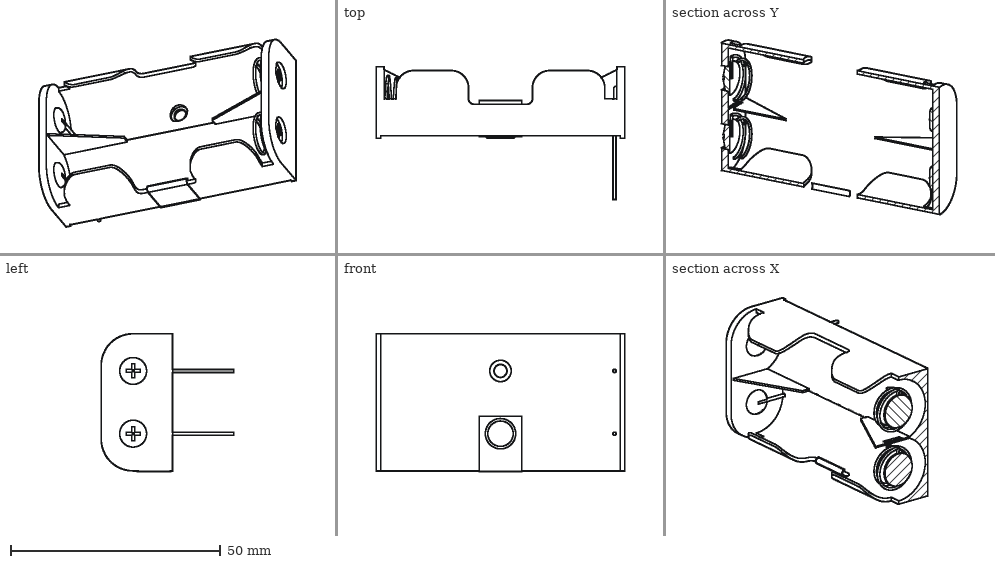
import cadquery as cq
import math

LENGTH = 59.5
WIDTH = 32.85
HEIGHT = 17.15
BACK = 0.6
RIB_WIDTH = 1.15
END_WALL = 1.95
CORNER_RADIUS = 7.7
AXIS_Y = HEIGHT - CORNER_RADIUS
INNER_END = LENGTH / 2 - END_WALL

AXIS_Z = 7.5
WALL = 0.95
TROUGH_RADIUS = WIDTH / 2 - WALL - AXIS_Z

WING_TOP = 16.25
WING_INNER_X = 7.6
WING_OUTER_X = 24.95
WING_CORNER_RADIUS = 4.15
NOTCH_FLOOR = 8.2
NOTCH_FILLET = AXIS_Y - NOTCH_FLOOR

WEB_THICKNESS = 0.5
WEB_TOP = 16.4
WEB_SLOPE = 0.5
SLOT_WIDTH = 1.2
SLOT_OFFSET = 0.8
SLOT_TOP = 13.1

BOSS_DIAMETER = 5.1
BOSS_HEIGHT = 0.35
MOUNTING_HOLE_DIAMETER = 3.05
RECESS_DIAMETER = 4.4
SEAT_THICKNESS = 0.6

STRAP_WIDTH = 10.25
STRAP_THICKNESS = 0.2
HOOK_GAP = 1.4
STRAP_END_Z = -3.4
STUD_BASE_RADIUS = 3.65
STUD_TOP_RADIUS = 3.05

BUTTON_RADIUS = 3.05
BUTTON_HEIGHT = 0.8
BUTTON_FILLET = 0.7
PIN_DIAMETER = 0.8
PIN_X = 27.25
PIN_END_Y = -14.65

RIVET_RADIUS = 3.2
RIVET_RIM_DEPTH = 1.0
CONE_HEIGHT = 0.8
CROSS_LENGTH = 3.35
CROSS_WIDTH = 0.7
CROSS_FLOOR_DEPTH = 0.8
DIMPLE_RADIUS = 0.25
DIMPLE_DEPTH = 0.25
FLANGE_RADIUS = 4.15
FLANGE_THICKNESS = 0.35
WIRE_DIAMETER = 0.6
COIL_PITCH = 2.1
COIL_TURNS = 2
COIL_TIP_RADIUS = 4.4
COIL_BASE_RADIUS = 5.5


def block(x0, x1, y0, y1, z0, z1):
    """Box between two opposite corners."""
    return cq.Workplane("XY").box(x1 - x0, y1 - y0, z1 - z0, centered=False).translate((x0, y0, z0))


def rod_along_x(radius, x0, x1, z):
    """Cylinder on a cell axis."""
    return cq.Workplane("YZ", origin=(x0, AXIS_Y, z)).circle(radius).extrude(x1 - x0)


def rod_along_y(radius, y0, y1, x, z):
    """Cylinder square to the back face."""
    return cq.Workplane("XZ", origin=(x, y0, z)).circle(radius).extrude(y0 - y1)


def side_opening():
    """Space above the side walls, around the rounded wings, across the whole width."""
    opening = block(-INNER_END, INNER_END, AXIS_Y, HEIGHT, -WIDTH / 2, WIDTH / 2)
    for x0 in (-WING_OUTER_X, WING_INNER_X):
        wing_length = WING_OUTER_X - WING_INNER_X
        wing = block(x0, x0 + wing_length, AXIS_Y, WING_TOP, -WIDTH / 2, WIDTH / 2)
        opening = opening.cut(wing.edges("|Z and >Y").fillet(WING_CORNER_RADIUS))
    return opening


def centre_notch():
    """Lowered middle of the side walls, with rounded bottom corners."""
    notch = block(-WING_INNER_X, WING_INNER_X, NOTCH_FLOOR, HEIGHT, -WIDTH / 2, WIDTH / 2)
    return notch.edges("|Z and <Y").fillet(NOTCH_FILLET)


def end_web():
    """Web between the cells at the spring end, sloping down to the height of the notch."""
    web_length = (WEB_TOP - NOTCH_FLOOR) / WEB_SLOPE
    return (
        cq.Workplane("XY", origin=(0, 0, -WEB_THICKNESS / 2))
        .moveTo(-INNER_END, BACK)
        .lineTo(-INNER_END, WEB_TOP)
        .lineTo(web_length - INNER_END, NOTCH_FLOOR)
        .lineTo(web_length - INNER_END, BACK)
        .close()
        .extrude(WEB_THICKNESS)
    )


def web_slot():
    """Opening through the web of the spring end, beside the end wall."""
    slot_x = SLOT_OFFSET - INNER_END
    return block(slot_x - SLOT_WIDTH / 2, slot_x + SLOT_WIDTH / 2, NOTCH_FLOOR, SLOT_TOP,
                 -WEB_THICKNESS / 2, WEB_THICKNESS / 2)


def make_housing():
    body = block(-LENGTH / 2, LENGTH / 2, 0, HEIGHT, -WIDTH / 2, WIDTH / 2)
    body = body.edges("|X and >Y").fillet(CORNER_RADIUS)

    rib_inner = LENGTH / 2 - RIB_WIDTH
    body = body.cut(block(-rib_inner, rib_inner, 0, BACK, -WIDTH / 2, WIDTH / 2))

    for z in (-AXIS_Z, AXIS_Z):
        body = body.cut(rod_along_x(TROUGH_RADIUS, -INNER_END, INNER_END, z))
    body = body.cut(block(-INNER_END, INNER_END, AXIS_Y, HEIGHT, -AXIS_Z, AXIS_Z))

    body = body.cut(side_opening()).cut(centre_notch())

    web = end_web()
    body = body.union(web).union(web.mirror("YZ")).cut(web_slot())

    boss_face = BACK - BOSS_HEIGHT
    body = body.union(rod_along_y(BOSS_DIAMETER / 2, boss_face, BACK, 0, AXIS_Z))
    body = body.cut(rod_along_y(MOUNTING_HOLE_DIAMETER / 2, 0, AXIS_Y, 0, AXIS_Z))

    body = body.cut(rod_along_y(RECESS_DIAMETER / 2, boss_face + SEAT_THICKNESS, AXIS_Y, 0, AXIS_Z))

    for z in (-AXIS_Z, AXIS_Z):
        body = body.cut(rod_along_x(RIVET_RADIUS, -LENGTH / 2, -INNER_END, z))
        body = body.cut(rod_along_y(PIN_DIAMETER / 2, 0, AXIS_Y, PIN_X, z))
    return body


def make_strap():
    """Strap along the back and one side wall, hooked in a half circle over the wall."""
    side = -WIDTH / 2
    hook_centre = side + HOOK_GAP / 2
    inner_radius = HOOK_GAP / 2
    outer_radius = inner_radius + STRAP_THICKNESS
    strap = (
        cq.Workplane("YZ", origin=(-STRAP_WIDTH / 2, 0, 0))
        .moveTo(BACK, STRAP_END_Z)
        .lineTo(BACK, side)
        .lineTo(NOTCH_FLOOR, side)
        .threePointArc((NOTCH_FLOOR + inner_radius, hook_centre), (NOTCH_FLOOR, side + HOOK_GAP))
        .lineTo(NOTCH_FLOOR, hook_centre + outer_radius)
        .threePointArc((NOTCH_FLOOR + outer_radius, hook_centre), (NOTCH_FLOOR, side - STRAP_THICKNESS))
        .lineTo(BACK - STRAP_THICKNESS, side - STRAP_THICKNESS)
        .lineTo(BACK - STRAP_THICKNESS, STRAP_END_Z)
        .close()
        .extrude(STRAP_WIDTH)
    )
    stud = (
        cq.Workplane("XY")
        .moveTo(0, BACK - STRAP_THICKNESS)
        .lineTo(STUD_BASE_RADIUS, BACK - STRAP_THICKNESS)
        .lineTo(STUD_TOP_RADIUS, 0)
        .lineTo(0, 0)
        .close()
        .revolve(360, (0, 0, 0), (0, 1, 0))
        .translate((0, 0, -AXIS_Z))
    )
    return strap.union(stud)


def make_button_contact(z):
    """Rounded button on the end wall, with a pin that leaves through the back."""
    button = rod_along_x(BUTTON_RADIUS, INNER_END - BUTTON_HEIGHT, INNER_END, z)
    button = button.edges("<X").fillet(BUTTON_FILLET)
    pin = rod_along_y(PIN_DIAMETER / 2, PIN_END_Y, AXIS_Y, PIN_X, z)
    return button.union(pin)


def make_coil():
    """Conical coil spring on the X axis, its wide end against the flange."""
    height = COIL_PITCH * COIL_TURNS
    taper = math.degrees(math.atan((COIL_BASE_RADIUS - COIL_TIP_RADIUS) / height))
    path = cq.Wire.makeHelix(COIL_PITCH, height, COIL_TIP_RADIUS, angle=taper, lefthand=True)
    coil = (
        cq.Workplane("XZ", origin=(COIL_TIP_RADIUS, 0, 0))
        .circle(WIRE_DIAMETER / 2)
        .sweep(cq.Workplane(obj=path), isFrenet=True)
    )
    base_x = WIRE_DIAMETER / 2 - INNER_END
    coil = coil.rotate((0, 0, 0), (0, 1, 0), -90).translate((base_x + height, 0, 0))

    foot = cq.Workplane("XY", origin=(base_x, 0, 0)).circle(WIRE_DIAMETER / 2).extrude(COIL_BASE_RADIUS)
    return coil.union(foot)


def make_spring_contact(z):
    """Rivet with a conical cross-slotted head, its inner flange and the coil."""
    rim_x = RIVET_RIM_DEPTH - LENGTH / 2
    flange_x = FLANGE_THICKNESS - INNER_END
    rivet = (
        cq.Workplane("XY")
        .moveTo(rim_x - CONE_HEIGHT, 0)
        .lineTo(rim_x, RIVET_RADIUS)
        .lineTo(-INNER_END, RIVET_RADIUS)
        .lineTo(-INNER_END, FLANGE_RADIUS)
        .lineTo(flange_x, FLANGE_RADIUS)
        .lineTo(flange_x, 0)
        .close()
        .revolve(360, (0, 0, 0), (1, 0, 0))
    )
    cross_floor = CROSS_FLOOR_DEPTH - LENGTH / 2
    for span_y, span_z in ((CROSS_LENGTH, CROSS_WIDTH), (CROSS_WIDTH, CROSS_LENGTH)):
        rivet = rivet.cut(block(-LENGTH / 2, cross_floor, -span_y / 2, span_y / 2, -span_z / 2, span_z / 2))
    contact = rivet.union(make_coil()).translate((0, AXIS_Y, z))
    return contact.cut(rod_along_x(DIMPLE_RADIUS, -LENGTH / 2, cross_floor + DIMPLE_DEPTH, z))


housing = make_housing()
strap = make_strap()
button_contacts = [make_button_contact(z) for z in (-AXIS_Z, AXIS_Z)]
spring_contacts = [make_spring_contact(z) for z in (-AXIS_Z, AXIS_Z)]

bodies = [housing, strap, *button_contacts, *spring_contacts]
result = cq.Compound.makeCompound([body.solids().val() for body in bodies])